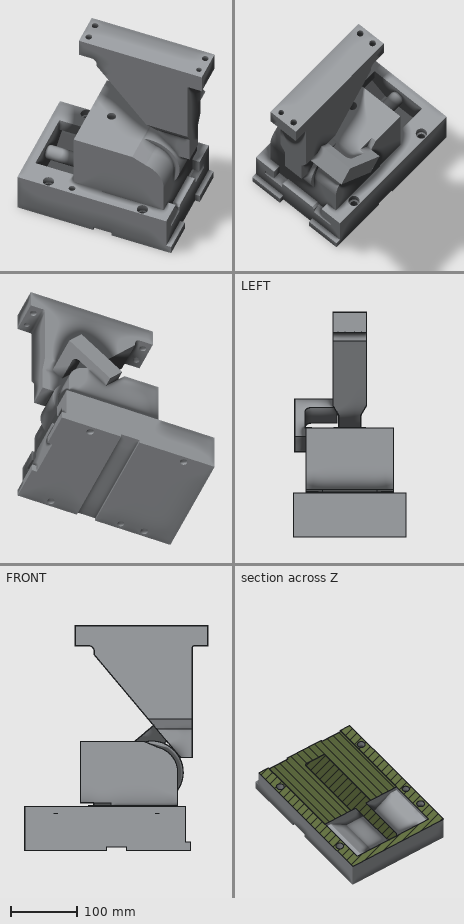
import cadquery as cq
import math


base_length = 243.0
base_width = 170.0
base_height = 67.0
lip_length = 7.8
lip_height = 13.3
lip_gap_width = 59.0
key_slot_start = 123.8
key_slot_length = 30.0
key_slot_depth = 5.5
pocket_start = 14.3
pocket_half_width = 48.0
guide_half_width = 66.3
guide_ceiling = 46.2
guide_ledge = 33.0
vee_top_half_width = 55.8
vee_floor_half_width = 26.5
bolt_x = (47.0, 200.3)
bolt_y = 75.5
bolt_diameter = 11.2
bolt_head_diameter = 17.0
bolt_head_depth = 11.2
base_dowel_x = 85.5
dowel_diameter = 10.2

slider_start = 84.3
slider_half_width = 66.3
slider_top = 165.2
slider_front_bottom = 72.0
slider_bottom = 68.5
step_x = 130.5
neck_start = 104.0
neck_half_width = 41.0
keel_start = 96.5
keel_bevel_start = 234.3
keel_bevel_drop = 9.0
keel_ridge_half_width = 32.3
keel_ridge_height = 3.5
nose_x = 192.5
nose_z = 118.3
nose_radius = 38.8
nose_flat_start = 180.0
nose_flat_end = 202.0
cam_radius = 47.3
cam_width = 47.3
lube_hole_x = 119.0
lube_hole_diameter = 14.0
lube_hole_depth = 34.0

spring_z = 45.5
spring_diameter = 37.5
spring_body_length = 119.0
rod_diameter = 22.5
rod_chamfer_length = 3.5
rod_chamfer_depth = 1.7

driver_thickness = 51.5
driver_top = 340.0
plate_start = 76.0
plate_end = 276.8
plate_thickness = 30.5
web_start = 105.0
web_end = 253.3
web_fillet_left = 8.5
web_fillet_right = 3.0
driver_bottom = 140.5
driver_slope = math.radians(50.0)
blade_thickness = 33.3
taper_top = 199.2
taper_bottom = 183.5
plate_hole_x = (87.0, 267.0)
plate_hole_y = 12.5
plate_hole_diameter = 10.2
plate_dowel_diameter = 8.5

hook_x = 151.0
hook_z = 152.3
hook_length = 87.7
hook_depth = 31.0
hook_outer_y = 83.3
hook_inner_y = 67.5
hook_foot_length = 21.0
hook_foot_y = 58.0
hook_arm_length = 20.0
hook_arm_y = 19.0
hook_fillet = 10.2

base_half_width = base_width / 2
plate_bottom = driver_top - plate_thickness
hook_angle = 90.0 - math.degrees(driver_slope)


def box(x0, x1, y0, y1, z0, z1):
    """Axis-aligned block between two corners."""
    return cq.Workplane("XY").box(x1 - x0, y1 - y0, z1 - z0, centered=False).translate((x0, y0, z0))


def along_y(half_width):
    """Side-profile plane whose +half_width*2 extrusion is centred on Y = 0."""
    return cq.Workplane("XZ", origin=(0, half_width, 0))


def along_x(x):
    """Cross-section plane at x, drawn in (Y, Z) and extruded toward +X."""
    return cq.Workplane("YZ", origin=(x, 0, 0))


def guide_section(start, end, neck_top):
    """Tee-shaped guide with a flat-bottomed vee below, from start to end along X."""
    right_half = [
        (pocket_half_width, neck_top),
        (pocket_half_width, guide_ceiling),
        (guide_half_width, guide_ceiling),
        (guide_half_width, guide_ledge),
        (vee_top_half_width, guide_ledge),
        (vee_floor_half_width, lip_height),
    ]
    left_half = [(-y, z) for y, z in reversed(right_half)]
    return along_x(start).polyline(right_half + left_half).close().extrude(end - start)


def hook_plane(y):
    """Plane at y with local X along the hook's length and local Y away from its depth."""
    plane = cq.Plane(origin=(hook_x, y, hook_z), xDir=(1, 0, 0), normal=(0, -1, 0))
    return cq.Workplane(plane.rotated((0, 0, hook_angle)))


def hook_block(start, end, rise, y0, y1):
    """Block lying along the hook, reaching rise above its outer face."""
    size = (end - start, hook_depth + rise)
    centre = ((start + end) / 2, (rise - hook_depth) / 2)
    return hook_plane(y1).center(*centre).rect(*size).extrude(y1 - y0)


def make_base():
    half = base_half_width
    base = box(0, base_length, -half, half, 0, base_height)
    lip = box(base_length, base_length + lip_length, -half, half, 0, lip_height)
    gap = box(base_length, base_length + lip_length, -lip_gap_width / 2, lip_gap_width / 2, 0, lip_height)
    key_slot = box(key_slot_start, key_slot_start + key_slot_length, -half, half, 0, key_slot_depth)
    guide = guide_section(pocket_start, base_length, base_height)
    base = base.union(lip.cut(gap)).cut(key_slot).cut(guide)

    top = cq.Workplane("XY", origin=(0, 0, base_height))
    bolts = [(x, y) for x in bolt_x for y in (-bolt_y, bolt_y)]
    base = base.cut(top.pushPoints(bolts).circle(bolt_diameter / 2).extrude(-base_height))
    base = base.cut(top.pushPoints(bolts).circle(bolt_head_diameter / 2).extrude(-bolt_head_depth))
    dowel = top.center(base_dowel_x, -bolt_y).circle(dowel_diameter / 2).extrude(-base_height)
    return base.cut(dowel)


def slider_body():
    """Block with a sloping flat and a round nose on its upper right edge."""
    nose_flat_z = nose_z + math.sqrt(nose_radius**2 - (nose_flat_end - nose_x) ** 2)
    middle = math.radians(45)
    nose_middle = (nose_x + nose_radius * math.cos(middle), nose_z + nose_radius * math.sin(middle))
    nose_end_x = nose_x + nose_radius
    profile = (
        along_y(slider_half_width)
        .moveTo(slider_start, slider_front_bottom)
        .lineTo(slider_start, slider_top)
        .lineTo(nose_flat_start, slider_top)
        .lineTo(nose_flat_end, nose_flat_z)
        .threePointArc(nose_middle, (nose_end_x, nose_z))
        .lineTo(nose_end_x, slider_bottom)
        .lineTo(step_x, slider_bottom)
        .lineTo(step_x, slider_front_bottom)
        .close()
    )
    return profile.extrude(2 * slider_half_width)


def slider_keel():
    """Guide keel; beyond the nose only its flange runs on, bevelled and ridged at the end."""
    nose_end_x = nose_x + nose_radius
    keel = guide_section(keel_start, base_length, slider_bottom)
    keel = keel.cut(
        box(nose_end_x, base_length, -guide_half_width, guide_half_width, guide_ceiling, slider_bottom)
    )
    bevel = (
        along_y(guide_half_width)
        .moveTo(keel_bevel_start, guide_ceiling)
        .lineTo(base_length, guide_ceiling)
        .lineTo(base_length, guide_ceiling - keel_bevel_drop)
        .close()
        .extrude(2 * guide_half_width)
    )
    ridge_top_half_width = keel_ridge_half_width - keel_ridge_height
    ridge_top = guide_ceiling + keel_ridge_height
    ridge_foot = guide_ceiling - keel_bevel_drop
    ridge_section = [
        (-keel_ridge_half_width, ridge_foot),
        (-keel_ridge_half_width, guide_ceiling),
        (-ridge_top_half_width, ridge_top),
        (ridge_top_half_width, ridge_top),
        (keel_ridge_half_width, guide_ceiling),
        (keel_ridge_half_width, ridge_foot),
    ]
    ridge = along_x(nose_end_x).polyline(ridge_section).close().extrude(base_length - nose_end_x)
    return keel.cut(bevel).union(ridge)


def make_slider():
    neck = box(neck_start, step_x, -neck_half_width, neck_half_width, slider_bottom, slider_front_bottom)
    cam = along_y(cam_width / 2).center(nose_x, nose_z).circle(cam_radius).extrude(cam_width)
    slider = slider_body().union(neck).union(slider_keel()).union(cam)

    hook_slot = hook_block(0, hook_foot_length, hook_depth, hook_foot_y, slider_half_width)
    lube_hole = (
        cq.Workplane("XY", origin=(lube_hole_x, 0, slider_top))
        .circle(lube_hole_diameter / 2)
        .extrude(-lube_hole_depth)
    )
    spring_bore = (
        along_x(keel_start).center(0, spring_z).circle(spring_diameter / 2).extrude(spring_body_length)
    )
    return slider.cut(hook_slot).cut(lube_hole).cut(spring_bore)


def make_gas_spring():
    body = along_x(keel_start).center(0, spring_z).circle(spring_diameter / 2).extrude(spring_body_length)
    rod = along_x(pocket_start).center(0, spring_z).circle(rod_diameter / 2)
    rod = rod.extrude(keel_start - pocket_start)
    rod = rod.faces("<X").chamfer(rod_chamfer_length, rod_chamfer_depth)
    return body.union(rod)


def driver_face_x(z):
    """X of the driver's sloping face at height z; the face is tangent to the cam."""
    return nose_x + (cam_radius - (z - nose_z) * math.cos(driver_slope)) / math.sin(driver_slope)


def driver_web():
    slope_top = nose_z + (cam_radius - (web_start - nose_x) * math.sin(driver_slope)) / math.cos(driver_slope)
    bend = math.sqrt(0.5)
    left, right = web_fillet_left, web_fillet_right
    left_middle = (web_start - left * (1 - bend), plate_bottom - left * (1 - bend))
    right_middle = (web_end + right * (1 - bend), plate_bottom - right * (1 - bend))
    profile = (
        along_y(driver_thickness / 2)
        .moveTo(plate_start, driver_top)
        .lineTo(plate_end, driver_top)
        .lineTo(plate_end, plate_bottom)
        .lineTo(web_end + right, plate_bottom)
        .threePointArc(right_middle, (web_end, plate_bottom - right))
        .lineTo(web_end, driver_bottom)
        .lineTo(driver_face_x(driver_bottom), driver_bottom)
        .lineTo(web_start, slope_top)
        .lineTo(web_start, plate_bottom - left)
        .threePointArc(left_middle, (web_start - left, plate_bottom))
        .lineTo(plate_start, plate_bottom)
        .close()
    )
    return profile.extrude(driver_thickness)


def make_driver():
    right_half = [
        (driver_thickness / 2, driver_top),
        (driver_thickness / 2, taper_top),
        (blade_thickness / 2, taper_bottom),
        (blade_thickness / 2, driver_bottom),
    ]
    left_half = [(-y, z) for y, z in reversed(right_half)]
    thickness_section = (
        along_x(plate_start).polyline(right_half + left_half).close().extrude(plate_end - plate_start)
    )
    hook_recess = hook_block(hook_length - hook_arm_length, hook_length, 0, hook_arm_y, driver_thickness / 2)
    driver = driver_web().intersect(thickness_section).cut(hook_recess)

    for x in plate_hole_x:
        for y in (-plate_hole_y, plate_hole_y):
            is_dowel = x == max(plate_hole_x) and y < 0
            diameter = plate_dowel_diameter if is_dowel else plate_hole_diameter
            top = cq.Workplane("XY", origin=(x, y, driver_top))
            driver = driver.cut(top.circle(diameter / 2).extrude(-plate_thickness))
    return driver


def make_hook():
    """U-shaped hook: a bar with a short foot in the slider and a long arm into the driver."""
    arm_start = hook_length - hook_arm_length
    bar = hook_block(0, hook_length, 0, hook_inner_y, hook_outer_y)
    foot = hook_block(0, hook_foot_length, 0, hook_foot_y, hook_inner_y)
    arm = hook_block(arm_start, hook_length, 0, hook_arm_y, hook_inner_y)
    corner_y = hook_inner_y - hook_fillet
    corner_start = arm_start - hook_fillet
    corner = hook_block(corner_start, arm_start, 0, corner_y, hook_inner_y)
    round_axis = hook_plane(corner_y).transformed(rotate=(90, 0, 0))
    corner = corner.cut(round_axis.center(corner_start, 0).circle(hook_fillet).extrude(hook_depth))
    return bar.union(foot).union(arm).union(corner)


base = make_base()
slider = make_slider()
gas_spring = make_gas_spring()
driver = make_driver()
hook = make_hook()

bodies = [base, slider, gas_spring, driver, hook]
result = cq.Compound.makeCompound([body.solids().val() for body in bodies])